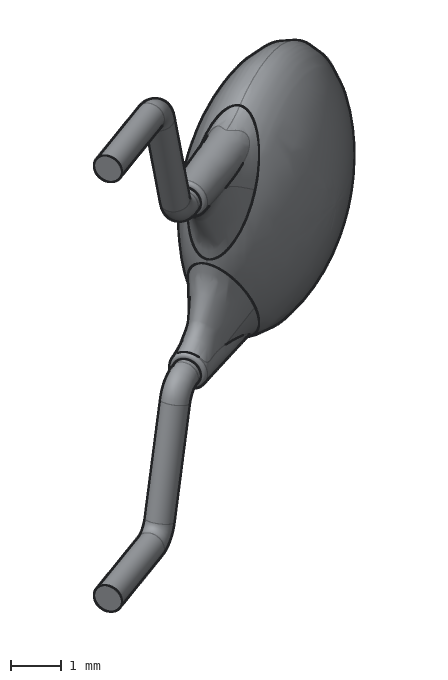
import cadquery as cq
import math

OVERALL_LENGTH = 11.0

DISC_RADIUS = 3.0
DISC_HALF_THICKNESS = DISC_RADIUS / 2
RIM_FULLNESS = 0.48

SLEEVE_Z = 2.0
SLEEVE_START_Y = -1.32
SLEEVE_END_Y = -4.02
SLEEVE_START_RADIUS = 0.52
SLEEVE_END_RADIUS = 0.41
SLEEVE_ROUNDING = 0.09

ROOT_INNER_ANGLE = 1.0
ROOT_OUTER_ANGLE = 63.5
ROOT_HALF_WIDTH = 0.68
ROOT_INSET = 0.997
CUTTER_MARGIN = 0.05
NOTCH_RADIUS = 1.85
NOTCH_CENTER_Y = -DISC_RADIUS - NOTCH_RADIUS
WEB_SECTIONS = [
    (18.0, -1.82, 2.52, 0.57),
    (34.0, -2.31, 2.46, 0.45),
    (48.0, -3.02, 2.4, 0.38),
    (61.0, -3.96, 2.34, 0.37),
]

LEAD_DIAMETER = 0.6
LEAD_PITCH = 10.0
LEAD_BEND_RADIUS = 0.5
LEAD_INNER_CORNER_Y = -4.5
LEAD_OUTER_CORNER_Y = -5.5
LEAD_TIP_Y = DISC_RADIUS - OVERALL_LENGTH


def make_disc():
    """Lens-like body of revolution about X, slightly leaner than an ellipsoid."""
    rim_handle = RIM_FULLNESS * DISC_HALF_THICKNESS
    face_handle = RIM_FULLNESS * DISC_RADIUS
    return (
        cq.Workplane("XY")
        .moveTo(-DISC_HALF_THICKNESS, 0)
        .bezier([
            (-DISC_HALF_THICKNESS, 0),
            (-DISC_HALF_THICKNESS, face_handle),
            (-rim_handle, DISC_RADIUS),
            (0, DISC_RADIUS),
        ])
        .bezier([
            (0, DISC_RADIUS),
            (rim_handle, DISC_RADIUS),
            (DISC_HALF_THICKNESS, face_handle),
            (DISC_HALF_THICKNESS, 0),
        ])
        .close()
        .revolve(360, (0, 0, 0), (1, 0, 0))
    )


def rim_point(angle):
    """Point on the disc rim, at an angle from -Y towards +Z."""
    a = math.radians(angle)
    return cq.Vector(0, -DISC_RADIUS * math.cos(a), DISC_RADIUS * math.sin(a))


def section_ellipse(inner, outer, half_width):
    """Ellipse across the web, spanning from an inner to an outer point of the YZ plane."""
    span = outer - inner
    across = cq.Vector(1, 0, 0)
    return cq.Wire.makeEllipse(
        span.Length / 2, half_width, (inner + outer) * 0.5, span.cross(across), span
    )


def make_web():
    """Upper web: ellipses fanned around the notch, shrinking from the disc to the sleeve."""
    root_inner = rim_point(ROOT_INNER_ANGLE)
    root_outer = rim_point(ROOT_OUTER_ANGLE)
    middle = (root_inner + root_outer) * 0.5
    half_span = (root_outer - root_inner) * (ROOT_INSET / 2)
    wires = [section_ellipse(middle - half_span, middle + half_span, ROOT_HALF_WIDTH)]
    for angle, outer_y, outer_z, half_width in WEB_SECTIONS:
        a = math.radians(angle)
        inner = cq.Vector(0, NOTCH_CENTER_Y + NOTCH_RADIUS * math.cos(a), NOTCH_RADIUS * math.sin(a))
        wires.append(section_ellipse(inner, cq.Vector(0, outer_y, outer_z), half_width))
    return cq.Workplane(cq.Solid.makeLoft(wires))


def make_root_cutter():
    """Block that trims the disc back to the plane in which the upper web starts."""
    inner = rim_point(ROOT_INNER_ANGLE)
    outer = rim_point(ROOT_OUTER_ANGLE)
    across = cq.Vector(1, 0, 0)
    outward = across.cross(outer - inner)
    root_plane = cq.Plane((inner + outer) * 0.5, across, outward)
    block_width = 2 * DISC_HALF_THICKNESS
    block_length = (outer - inner).Length + CUTTER_MARGIN
    return cq.Workplane(root_plane).rect(block_width, block_length).extrude(DISC_RADIUS)


def make_sleeve():
    """Upper sleeve: a cone along Y with a rounded free end."""
    return (
        cq.Workplane("XY")
        .moveTo(0, SLEEVE_START_Y)
        .lineTo(SLEEVE_START_RADIUS, SLEEVE_START_Y)
        .lineTo(SLEEVE_END_RADIUS, SLEEVE_END_Y)
        .lineTo(0, SLEEVE_END_Y)
        .close()
        .revolve(360, (0, 0, 0), (0, 1, 0))
        .faces("<Y")
        .edges()
        .fillet(SLEEVE_ROUNDING)
        .translate((0, 0, SLEEVE_Z))
    )


def make_coating():
    """One solid: disc, webs and sleeves."""
    cutter = make_root_cutter()
    coating = make_disc().cut(cutter).cut(cutter.mirror("XY"))
    arm = make_web().union(make_sleeve())
    return coating.union(arm).union(arm.mirror("XY"))


def make_lead():
    """Upper lead: a round wire from the sleeve end, cranked outwards in the YZ plane."""
    tip_z = LEAD_PITCH / 2
    points = [
        cq.Vector(0, SLEEVE_END_Y, SLEEVE_Z),
        cq.Vector(0, LEAD_INNER_CORNER_Y, SLEEVE_Z),
        cq.Vector(0, LEAD_OUTER_CORNER_Y, tip_z),
        cq.Vector(0, LEAD_TIP_Y, tip_z),
    ]
    path = cq.Wire.makePolygon(points)
    ends = (path.startPoint().y, path.endPoint().y)
    corners = [v for v in path.Vertices() if min(ends) < v.Y < max(ends)]
    path = path.fillet2D(LEAD_BEND_RADIUS, corners)
    start = cq.Workplane("XZ", origin=points[0].toTuple())
    return start.circle(LEAD_DIAMETER / 2).sweep(path)


coating = make_coating()
upper_lead = make_lead()
leads = [upper_lead, upper_lead.mirror("XY")]
result = cq.Compound.makeCompound([coating.solids().val(), *[lead.val() for lead in leads]])